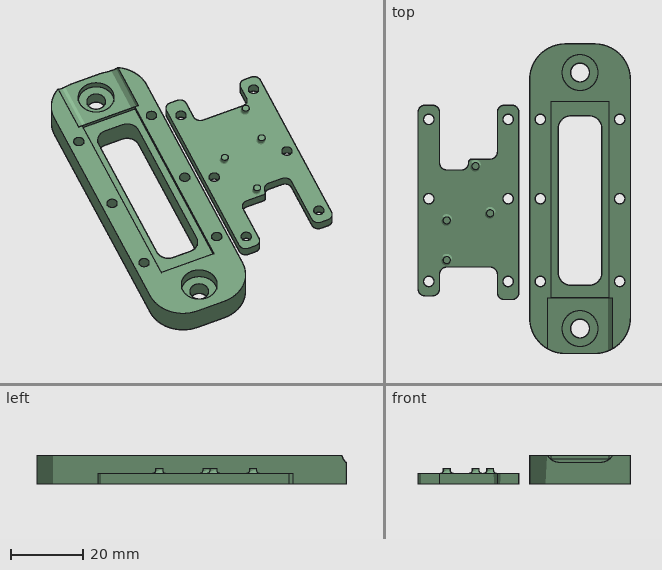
import cadquery as cq
import math


screw_hole_diameter = 2.8
screw_column_offset = 11.0
screw_rows_y = (22.0, 0, -23.0)

body_width = 28.0
body_gap = 2.9

housing_length = 86.0
housing_height = 8.0
housing_corner_radius = 10.0

window_width = 12.0
window_top_y = 23.0
window_bottom_y = -24.0
window_corner_radius = 3.4
recess_width = 16.0
recess_top_y = 27.0
recess_depth = 1.0
recess_lip_thickness = 0.04

channel_inner_y = -27.5
channel_floor_width = 11.2
channel_depth = 2.0
channel_side_radius = 4.0

mount_hole_diameter = 5.2
counterbore_diameter = 10.0
upper_mount_y = 35.0
lower_mount_y = -36.0
upper_counterbore_floor_z = 4.7
lower_counterbore_floor_z = 4.0

plate_center_x = -(body_width + body_gap)
plate_thickness = 3.0
arm_width = 6.0
plate_top_y = 26.0
left_leg_end_y = -27.0
right_leg_end_y = -28.0
deep_notch_y = 8.0
shallow_notch_y = 11.0
lower_notch_y = -19.0
plate_corner_radius = 2.0
step_corner_radius = 0.95

pin_diameter = 2.0
pin_height = 1.4
pin_foot_radius = 0.8
pin_places = ((2.0, 9.0), (6.0, -4.0), (-6.0, -6.0), (-6.0, -17.0))


def block(x_min, x_max, y_min, y_max, z_min, z_max):
    """Box between two opposite corners."""
    return cq.Workplane("XY").box(
        x_max - x_min, y_max - y_min, z_max - z_min, centered=False
    ).translate((x_min, y_min, z_min))


def screw_holes(height):
    """Cutters for the six screw holes, about X = 0."""
    places = [(x, y) for x in (-screw_column_offset, screw_column_offset) for y in screw_rows_y]
    return cq.Workplane("XY").pushPoints(places).circle(screw_hole_diameter / 2).extrude(height)


def window_cutter():
    """Rounded window that goes through the housing."""
    half_width = window_width / 2
    opening = block(-half_width, half_width, window_bottom_y, window_top_y, 0, housing_height)
    return opening.edges("|Z").fillet(window_corner_radius)


def recess_cutter():
    """Shallow recess around the window, kept apart from the channel by a thin lip."""
    half_width = recess_width / 2
    floor_z = housing_height - recess_depth
    bottom_y = channel_inner_y + recess_lip_thickness
    return block(-half_width, half_width, bottom_y, recess_top_y, floor_z, housing_height)


def channel_cutter():
    """Flat-floored channel whose sides are arcs tangent to the floor."""
    half_floor = channel_floor_width / 2
    floor_z = housing_height - channel_depth
    arc_angle = math.acos(1 - channel_depth / channel_side_radius)
    half_top = half_floor + channel_side_radius * math.sin(arc_angle)
    mid_x = half_floor + channel_side_radius * math.sin(arc_angle / 2)
    mid_z = floor_z + channel_side_radius * (1 - math.cos(arc_angle / 2))
    length = channel_inner_y + housing_length / 2
    return (
        cq.Workplane("XZ", origin=(0, channel_inner_y, 0))
        .moveTo(-half_floor, floor_z)
        .lineTo(half_floor, floor_z)
        .threePointArc((mid_x, mid_z), (half_top, housing_height))
        .lineTo(-half_top, housing_height)
        .threePointArc((-mid_x, mid_z), (-half_floor, floor_z))
        .close()
        .extrude(length)
    )


def mount_hole_cutter(y, floor_z):
    """Through hole with a flat counterbore from above."""
    through = cq.Workplane("XY").center(0, y).circle(mount_hole_diameter / 2).extrude(housing_height)
    counterbore = (
        cq.Workplane("XY", origin=(0, y, floor_z))
        .circle(counterbore_diameter / 2)
        .extrude(housing_height - floor_z)
    )
    return through.union(counterbore)


def make_housing():
    body = (
        cq.Workplane("XY")
        .rect(body_width, housing_length)
        .extrude(housing_height)
        .edges("|Z")
        .fillet(housing_corner_radius)
    )
    body = body.cut(window_cutter()).cut(recess_cutter()).cut(channel_cutter())
    body = body.cut(mount_hole_cutter(upper_mount_y, upper_counterbore_floor_z))
    body = body.cut(mount_hole_cutter(lower_mount_y, lower_counterbore_floor_z))
    return body.cut(screw_holes(housing_height))


def plate_blank():
    """Plate outline with two arms, two legs and a stepped upper notch, about X = 0."""
    outer_x = body_width / 2
    inner_x = outer_x - arm_width
    step_x = 0
    outline = [
        (-outer_x, left_leg_end_y),
        (-inner_x, left_leg_end_y),
        (-inner_x, lower_notch_y),
        (inner_x, lower_notch_y),
        (inner_x, right_leg_end_y),
        (outer_x, right_leg_end_y),
        (outer_x, plate_top_y),
        (inner_x, plate_top_y),
        (inner_x, shallow_notch_y),
        (step_x, shallow_notch_y),
        (step_x, deep_notch_y),
        (-inner_x, deep_notch_y),
        (-inner_x, plate_top_y),
        (-outer_x, plate_top_y),
    ]
    blank = cq.Workplane("XY").polyline(outline).close().extrude(plate_thickness)
    step_corner = cq.selectors.BoxSelector(
        (step_x - step_corner_radius, shallow_notch_y - step_corner_radius, 0),
        (step_x + step_corner_radius, shallow_notch_y + step_corner_radius, plate_thickness),
    )
    other_corners = cq.selectors.InverseSelector(step_corner)
    rounded = blank.edges("|Z").edges(other_corners).fillet(plate_corner_radius)
    return rounded.edges("|Z").edges(step_corner).fillet(step_corner_radius)


def make_pin(x, y):
    """Round pin with a concave fillet at its foot."""
    radius = pin_diameter / 2
    foot_edge = radius + pin_foot_radius
    arc_reach = pin_foot_radius * (1 - math.sqrt(0.5))
    return (
        cq.Workplane("XZ")
        .lineTo(foot_edge, 0)
        .threePointArc((radius + arc_reach, arc_reach), (radius, pin_foot_radius))
        .lineTo(radius, pin_height)
        .lineTo(0, pin_height)
        .close()
        .revolve(360, (0, 0), (0, 1))
        .translate((x, y, plate_thickness))
    )


def make_plate():
    body = plate_blank().cut(screw_holes(plate_thickness))
    for x, y in pin_places:
        body = body.union(make_pin(x, y))
    return body.translate((plate_center_x, 0, 0))


housing = make_housing()
plate = make_plate()

result = cq.Compound.makeCompound([housing.val(), plate.val()])